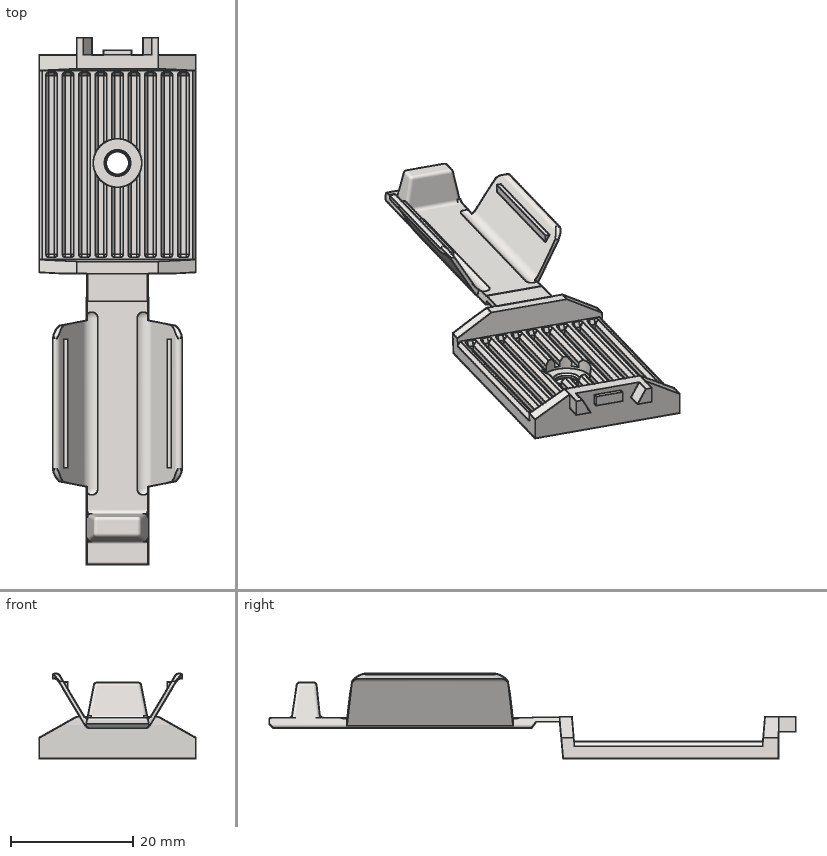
import cadquery as cq
import math


total_length = 86.3
prong_tip_y = 20.55
arm_end_y = prong_tip_y - total_length
deck_z = 6.9

base_width = 25.6
base_back_y = 17.7
base_front_y = -17.6
shoulder_z = 3.45
crown_half_width = 6.69
lip_y = -18.1
lip_z = 5.5
back_wall_top_y = 15.45
back_wall_foot_y = 15.1
front_wall_top_y = -16.15
front_wall_foot_y = -15.8
rib_top_z = 2.85

groove_count = 9
groove_span = 21.6
groove_pitch = groove_span / (groove_count - 1)
groove_width = 0.9
groove_floor_z = 1.2
groove_back_y = 14.3
groove_front_y = -14.9
bevel_width = 0.5
bevel_height = 0.8

hole_diameter = 3.7
counterbore_diameter = 7.9
counterbore_floor_z = 0.8
countersink_diameter = 4.3

prong_bottom_z = 4.4
prong_top_inner_x = 5.6
prong_bottom_inner_x = 4.15
catch_width = 4.7
catch_tip_y = 18.5
catch_top_z = 6.0

arm_bottom_z = 5.0
neck_top_z = 6.8
arm_top_z = 6.7
neck_bottom_z = 6.0
neck_end_y = -22.0
arm_bottom_start_y = -22.8
arm_top_start_y = -22.6
arm_bottom_end_y = arm_end_y + 0.7
arm_nose_z = 5.7
arm_edge_radius = 0.5
nose_radius = 0.4

post_top_z = 12.5
arm_bottom_half_width = 5.3
post_top_half_width = 3.8

channel_inner_x = 3.24
channel_depth = 0.35
channel_radius = 1.6
channel_x = channel_inner_x + math.sqrt(channel_radius**2 - (channel_radius - channel_depth) ** 2)
channel_z = arm_top_z - channel_depth + channel_radius

tab_lean = math.radians(30.8)
tab_wall = 0.65
tab_root_x = channel_x + channel_radius * math.cos(tab_lean)
tab_root_z = channel_z - channel_radius * math.sin(tab_lean)
tab_foot_z = 5.4
tab_bend_z = 12.6
tab_tip_x = 10.6
tab_tip_bottom_z = 13.1
tab_top_z = 14.0
tab_curl_radius = 0.8
tab_mid_y = -39.41
tab_foot_half_length = 14.0
tab_shoulder_half_length = 12.8
tab_tip_half_length = 10.5
tab_shoulder_x = 9.5
tab_shoulder_z = 12.7
corner_bulge = 0.3

bead_x = 8.1
bead_bottom_z = 11.2
bead_top_z = 12.6

post_back_foot_y = -57.4
post_back_top_y = -58.0
post_front_foot_y = -62.1
post_front_top_y = -61.2
post_edge_radius = 0.6
post_back_blend = 0.6
post_front_blend = 0.35


def extrude_along_y(points, y_start, y_end):
    """Close an XZ outline and extrude it between two Y positions."""
    section = cq.Workplane("XZ", origin=(0, y_start, 0)).polyline(points).close()
    return section.extrude(y_start - y_end)


def extrude_along_x(points, width):
    """Close a YZ outline and extrude it symmetrically about X = 0."""
    return cq.Workplane("YZ").polyline(points).close().extrude(width / 2, both=True)


def both_sides(solid):
    """Join a solid on the +X side with its mirror image."""
    return solid.union(solid.mirror("YZ"))


def make_base():
    half_width = base_width / 2
    roof = extrude_along_y(
        [
            (-half_width, 0),
            (half_width, 0),
            (half_width, shoulder_z),
            (crown_half_width, deck_z),
            (-crown_half_width, deck_z),
            (-half_width, shoulder_z),
        ],
        base_back_y,
        lip_y,
    )
    side_profile = extrude_along_x(
        [
            (base_back_y, 0),
            (base_back_y, deck_z),
            (back_wall_top_y, deck_z),
            (back_wall_foot_y, rib_top_z),
            (front_wall_foot_y, rib_top_z),
            (front_wall_top_y, deck_z),
            (lip_y, deck_z),
            (lip_y, lip_z),
            (base_front_y, 0),
        ],
        base_width,
    )
    return roof.intersect(side_profile)


def make_groove(x):
    """A straight-walled groove whose upper edges are bevelled all round."""
    length = groove_back_y - groove_front_y
    middle_y = (groove_back_y + groove_front_y) / 2
    bevel_z = rib_top_z - bevel_height
    bevel_angle = math.degrees(math.atan2(bevel_width, bevel_height))
    mouth = (
        cq.Workplane("XY", origin=(x, middle_y, bevel_z))
        .rect(groove_width, length)
        .extrude(bevel_height, taper=-bevel_angle)
    )
    slot = (
        cq.Workplane("XY", origin=(x, middle_y, groove_floor_z))
        .rect(groove_width, length)
        .extrude(bevel_z - groove_floor_z)
    )
    return mouth.union(slot)


def make_outer_bevel():
    """The cut that bevels the outer edge of the outermost rib on the +X side."""
    edge_x = base_width / 2
    return extrude_along_y(
        [
            (edge_x, rib_top_z - bevel_height),
            (edge_x, rib_top_z),
            (edge_x - bevel_width, rib_top_z),
        ],
        back_wall_foot_y,
        front_wall_foot_y,
    )


def make_mounting_hole():
    hole = cq.Workplane("XY").circle(hole_diameter / 2).extrude(rib_top_z)
    counterbore = (
        cq.Workplane("XY", origin=(0, 0, counterbore_floor_z))
        .circle(counterbore_diameter / 2)
        .extrude(deck_z)
    )
    chamfer = (countersink_diameter - hole_diameter) / 2
    countersink = (
        cq.Workplane("XY", origin=(0, 0, counterbore_floor_z - chamfer))
        .circle(hole_diameter / 2)
        .extrude(chamfer, taper=-45)
    )
    return hole.union(counterbore).union(countersink)


def make_prong():
    return extrude_along_y(
        [
            (crown_half_width, deck_z),
            (crown_half_width, prong_bottom_z),
            (prong_bottom_inner_x, prong_bottom_z),
            (prong_top_inner_x, deck_z),
        ],
        prong_tip_y,
        back_wall_top_y,
    )


def make_catch():
    return extrude_along_x(
        [
            (back_wall_top_y, prong_bottom_z),
            (catch_tip_y, prong_bottom_z),
            (catch_tip_y, catch_top_z),
            (back_wall_top_y, catch_top_z),
        ],
        catch_width,
    )


def make_flanks():
    """The tapering envelope between the side faces of the arm and the post."""
    return extrude_along_y(
        [
            (-arm_bottom_half_width, arm_bottom_z),
            (-post_top_half_width, post_top_z),
            (post_top_half_width, post_top_z),
            (arm_bottom_half_width, arm_bottom_z),
        ],
        base_back_y,
        arm_end_y,
    )


def make_arm():
    side_profile = extrude_along_x(
        [
            (front_wall_top_y, neck_top_z),
            (front_wall_top_y, neck_bottom_z),
            (neck_end_y, neck_bottom_z),
            (arm_bottom_start_y, arm_bottom_z),
            (arm_bottom_end_y, arm_bottom_z),
            (arm_end_y, arm_nose_z),
            (arm_end_y, arm_top_z),
            (arm_top_start_y, arm_top_z),
            (arm_top_start_y, neck_top_z),
        ],
        2 * arm_bottom_half_width,
    )
    arm = side_profile.intersect(make_flanks())
    arm = arm.faces("<Z").edges("|Y").fillet(arm_edge_radius)
    return arm.faces("<Y").edges(">Z").fillet(nose_radius)


def bulged_midpoint(start, end, centre):
    """The midpoint of two points, moved away from a centre by the corner bulge."""
    middle = ((start[0] + end[0]) / 2, (start[1] + end[1]) / 2)
    away = (middle[0] - centre[0], middle[1] - centre[1])
    scale = corner_bulge / math.hypot(*away)
    return (middle[0] + away[0] * scale, middle[1] + away[1] * scale)


def make_tab_outline(plane, foot, shoulder, tip, depth):
    """A prism tapering from foot to shoulder, with rounded corners up to its tip.

    The outline is symmetrical about the tab's middle. Each of foot, shoulder and tip is
    (distance from the middle, height of the outline).
    """
    corner_centre = (tip[0], shoulder[1])
    bulge = bulged_midpoint(shoulder, tip, corner_centre)

    def mirrored(point):
        return (-point[0], point[1])

    return (
        cq.Workplane(plane)
        .moveTo(*foot)
        .lineTo(*shoulder)
        .threePointArc(bulge, tip)
        .lineTo(*mirrored(tip))
        .threePointArc(mirrored(bulge), mirrored(shoulder))
        .lineTo(*mirrored(foot))
        .close()
        .extrude(depth)
    )


def make_tab():
    """The leaning sheet on the +X side, its top edge curled outward."""
    def inner_x(z):
        return tab_root_x + (z - tab_root_z) * math.tan(tab_lean)

    def outer_x(z):
        return inner_x(z) + tab_wall / math.cos(tab_lean)

    curl_z = tab_top_z - tab_curl_radius
    curl_start_z = curl_z + tab_curl_radius * math.sin(tab_lean)
    curl_x = inner_x(curl_start_z) + tab_curl_radius * math.cos(tab_lean)
    tab_tip_top_z = curl_z + math.sqrt(tab_curl_radius**2 - (tab_tip_x - curl_x) ** 2)
    sheet = (
        cq.Workplane("XZ", origin=(0, tab_mid_y, 0))
        .moveTo(outer_x(tab_foot_z), tab_foot_z)
        .lineTo(outer_x(tab_bend_z), tab_bend_z)
        .tangentArcPoint((tab_tip_x, tab_tip_bottom_z), relative=False)
        .lineTo(tab_tip_x, tab_tip_top_z)
        .threePointArc((curl_x, tab_top_z), (inner_x(curl_start_z), curl_start_z))
        .lineTo(tab_root_x, tab_root_z)
        .lineTo(channel_inner_x, arm_top_z)
        .lineTo(channel_inner_x, tab_foot_z)
        .close()
        .extrude(tab_foot_half_length, both=True)
    )
    plan_plane = cq.Plane(origin=(0, tab_mid_y, 0), xDir=(0, -1, 0), normal=(0, 0, 1))
    plan = make_tab_outline(
        plan_plane,
        (tab_foot_half_length, channel_inner_x),
        (tab_shoulder_half_length, tab_shoulder_x),
        (tab_tip_half_length, tab_tip_x),
        tab_top_z,
    )
    side_plane = cq.Plane(origin=(0, tab_mid_y, 0), xDir=(0, 1, 0), normal=(1, 0, 0))
    side = make_tab_outline(
        side_plane,
        (tab_foot_half_length, tab_foot_z),
        (tab_shoulder_half_length, tab_shoulder_z),
        (tab_tip_half_length, tab_top_z),
        tab_tip_x,
    )
    bead = extrude_along_y(
        [
            (bead_x, bead_bottom_z),
            (bead_x, bead_top_z),
            ((inner_x(bead_top_z) + outer_x(bead_top_z)) / 2, bead_top_z),
            ((inner_x(bead_bottom_z) + outer_x(bead_bottom_z)) / 2, bead_bottom_z),
        ],
        tab_mid_y + tab_tip_half_length,
        tab_mid_y - tab_tip_half_length,
    )
    return sheet.intersect(plan).intersect(side).union(bead)


def make_channel():
    """The cut for the channel on the +X side, with spherical ends level with the tab's ends."""
    axis = cq.Workplane("XZ", origin=(channel_x, tab_mid_y, channel_z))
    channel = axis.circle(channel_radius).extrude(tab_foot_half_length, both=True)
    for end in (-1, 1):
        end_y = tab_mid_y + end * tab_foot_half_length
        ball = cq.Workplane("XY", origin=(channel_x, end_y, channel_z)).sphere(channel_radius)
        channel = channel.union(ball)
    return channel


def make_post():
    side_profile = extrude_along_x(
        [
            (post_back_foot_y, arm_top_z),
            (post_back_top_y, post_top_z),
            (post_front_top_y, post_top_z),
            (post_front_foot_y, arm_top_z),
        ],
        2 * arm_bottom_half_width,
    )
    post = side_profile.intersect(make_flanks())
    return post.edges("not <Z").fillet(post_edge_radius)


def make_post_blend(foot_y, top_y, reach):
    """The concave blend along the foot of the post's back or front face."""
    face_y = top_y - foot_y
    face_z = post_top_z - arm_top_z
    share = reach / math.hypot(face_y, face_z)
    outward_y = -math.copysign(reach, face_y)
    corner_angle = math.pi / 2 + math.atan2(abs(face_y), face_z)
    radius = reach * math.tan(corner_angle / 2)
    middle_share = 1 - radius / math.hypot(reach, radius)
    blend = (
        cq.Workplane("YZ")
        .moveTo(foot_y, arm_top_z)
        .lineTo(foot_y + outward_y, arm_top_z)
        .threePointArc(
            (foot_y + middle_share * outward_y, arm_top_z + middle_share * radius),
            (foot_y + share * face_y, arm_top_z + share * face_z),
        )
        .close()
        .extrude(arm_bottom_half_width, both=True)
    )
    return blend.intersect(make_flanks())


base = make_base()
for index in range(groove_count):
    groove_x = (index - (groove_count - 1) / 2) * groove_pitch
    base = base.cut(make_groove(groove_x))
base = base.cut(both_sides(make_outer_bevel()))
base = base.cut(make_mounting_hole())

arm = (
    make_arm()
    .union(both_sides(make_tab()))
    .cut(both_sides(make_channel()))
    .union(make_post())
    .union(make_post_blend(post_back_foot_y, post_back_top_y, post_back_blend))
    .union(make_post_blend(post_front_foot_y, post_front_top_y, post_front_blend))
)

result = (
    base.union(both_sides(make_prong()))
    .union(make_catch())
    .union(arm)
)